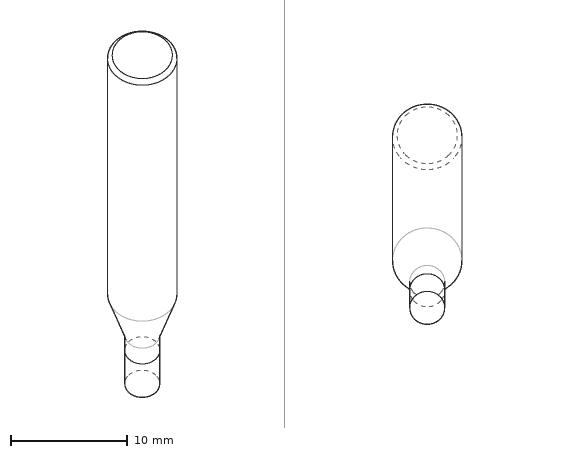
import cadquery as cq

total_length = 45.0
shank_diameter = 6.0
end_chamfer = 0.4

cutter_length = 4.6
neck_top = 6.75
taper_top = 12.3

tip_diameter = 3.0


def make_cutter():
    """Plain cylindrical cutting end, standing on Z = 0."""
    return cq.Workplane("XY").circle(tip_diameter / 2).extrude(cutter_length)


def make_shank():
    """Neck, taper and long shank turned about Z, chamfered at the top."""
    shank_radius = shank_diameter / 2
    neck_radius = tip_diameter / 2
    return (
        cq.Workplane("XZ")
        .moveTo(0, cutter_length)
        .lineTo(neck_radius, cutter_length)
        .lineTo(neck_radius, neck_top)
        .lineTo(shank_radius, taper_top)
        .lineTo(shank_radius, total_length)
        .lineTo(0, total_length)
        .close()
        .revolve(360, (0, 0, 0), (0, 1, 0))
        .faces(">Z")
        .chamfer(end_chamfer)
    )


cutter = make_cutter()
shank = make_shank()

result = cq.Compound.makeCompound([cutter.val(), shank.val()])